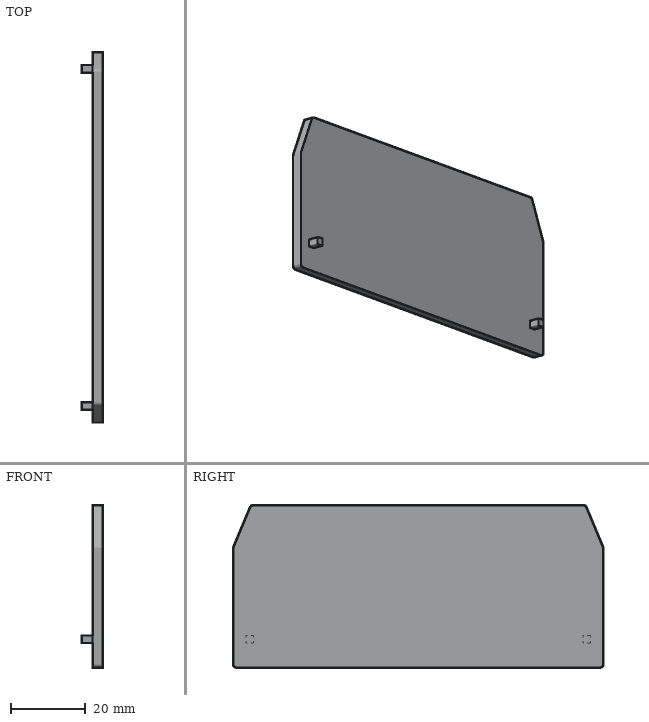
import cadquery as cq

LENGTH = 99.1
HEIGHT = 43.5
THICKNESS = 2.8
SLOPE_RUN = 4.8
SLOPE_DROP = 11.4
CORNER_RADIUS = 1.0

PEG_SIDE = 2.1
PEG_LENGTH = 3.0
PEG_EDGE_RADIUS = 0.3
PEG_END_INSET = 4.5
PEG_HEIGHT = 7.6


def make_plate():
    """Plate with sloped upper corners, all profile corners rounded."""
    half_length = LENGTH / 2
    top_half_length = half_length - SLOPE_RUN
    shoulder_height = HEIGHT - SLOPE_DROP
    outline = [
        (-half_length, 0),
        (half_length, 0),
        (half_length, shoulder_height),
        (top_half_length, HEIGHT),
        (-top_half_length, HEIGHT),
        (-half_length, shoulder_height),
    ]
    plate = cq.Workplane("YZ").polyline(outline).close().extrude(THICKNESS)
    return plate.edges("|X").fillet(CORNER_RADIUS)


def make_pegs():
    """Two pegs with rounded long edges, one near each end of the plate."""
    peg_offset = LENGTH / 2 - PEG_END_INSET
    return (
        cq.Workplane("YZ")
        .pushPoints([(side * peg_offset, PEG_HEIGHT) for side in (-1, 1)])
        .rect(PEG_SIDE, PEG_SIDE)
        .extrude(-PEG_LENGTH)
        .edges("|X")
        .fillet(PEG_EDGE_RADIUS)
    )


result = make_plate().union(make_pegs())